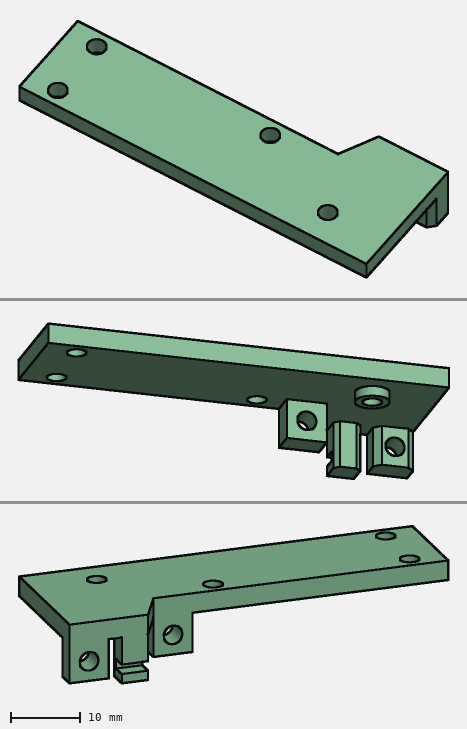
import cadquery as cq

length = 60.0
arm_width = 15.0
full_width = 21.0
thickness = 3.0
slope_start_x = 45.0
slope_end_x = 48.0

hole_diameter = 2.8
edge_offset = 2.5
left_hole_x = 5.0
middle_hole_x = 35.0
boss_x = 50.0
boss_y = 5.0
boss_diameter = 5.0
boss_height = 1.5

lug_width = 6.0
lug_height = 6.0
lug_depth = 4.0
lug_left_x = 39.0
end_lug_depth = 4.0
end_lug_chamfer = 1.0
post_width = 4.0
post_depth = 4.0
post_height = 7.0
post_chamfer = 0.8
notch_depth = 2.4
notch_height = 1.45
notch_top_drop = 4.15


def hanging_block(left, back, width, depth, height, chamfer=0):
    """Block below the plate, with its two front upright edges optionally beveled."""
    right = left + width
    front = back - depth
    if chamfer == 0:
        outline = [(left, back), (left, front), (right, front), (right, back)]
    else:
        outline = [
            (left, back),
            (left, front + chamfer),
            (left + chamfer, front),
            (right - chamfer, front),
            (right, front + chamfer),
            (right, back),
        ]
    return cq.Workplane("XY").polyline(outline).close().extrude(-height)


def cross_hole(center_x):
    """Cutter along Y through the middle of a lug."""
    return (
        cq.Workplane("XZ")
        .center(center_x, -lug_height / 2)
        .circle(hole_diameter / 2)
        .extrude(-full_width)
    )


plate_outline = [
    (0, 0),
    (length, 0),
    (length, full_width),
    (slope_end_x, full_width),
    (slope_start_x, arm_width),
    (0, arm_width),
]
result = cq.Workplane("XY").polyline(plate_outline).close().extrude(thickness)

boss = cq.Workplane("XY").center(boss_x, boss_y).circle(boss_diameter / 2).extrude(-boss_height)
result = result.union(boss)

end_lug_x = length - lug_width
lug = hanging_block(lug_left_x, arm_width, lug_width, lug_depth, lug_height)
end_lug = hanging_block(
    end_lug_x, full_width, lug_width, end_lug_depth, lug_height, end_lug_chamfer
)
result = result.union(lug).union(end_lug)
for left in (lug_left_x, end_lug_x):
    result = result.cut(cross_hole(left + lug_width / 2))

post = hanging_block(
    slope_end_x, full_width, post_width, post_depth, post_height, post_chamfer
)
notch = cq.Workplane("XY").box(post_width, notch_depth, notch_height, centered=False)
notch = notch.translate((slope_end_x, full_width - notch_depth, -notch_top_drop - notch_height))
result = result.union(post.cut(notch))

screw_points = [
    (left_hole_x, edge_offset),
    (left_hole_x, arm_width - edge_offset),
    (middle_hole_x, arm_width - edge_offset),
    (boss_x, boss_y),
]
screw_holes = (
    cq.Workplane("XY", origin=(0, 0, -boss_height))
    .pushPoints(screw_points)
    .circle(hole_diameter / 2)
    .extrude(boss_height + thickness)
)
result = result.cut(screw_holes)